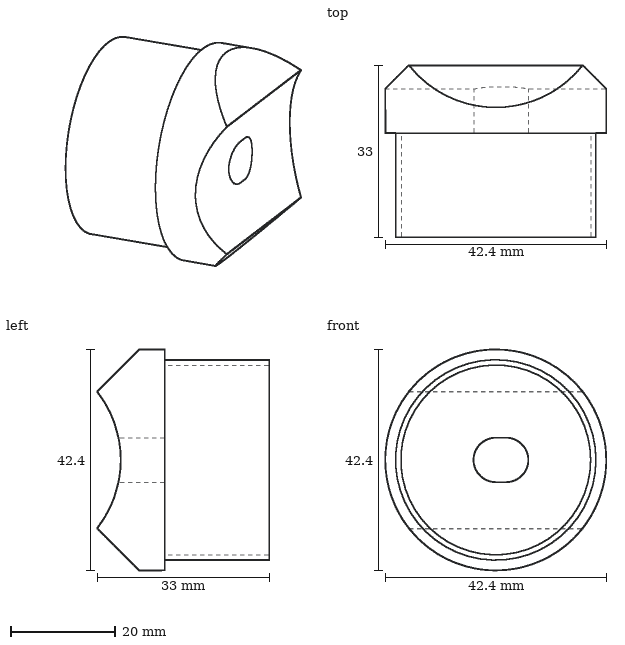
import cadquery as cq

collar_diameter = 42.4
collar_length = 12.97
tube_diameter = 38.4
tube_bore = 36.4
tube_length = 20.0

saddle_radius = collar_diameter / 2
saddle_axis_y = 29.7

rim_length = 4.9
flat_run = collar_length - rim_length

slot_width = 8.5
slot_travel = 2.0


def cylinder_along_y(diameter, start_y, length):
    plane = cq.Plane(origin=(0, start_y, 0), xDir=(1, 0, 0), normal=(0, 1, 0))
    return cq.Workplane(plane).circle(diameter / 2).extrude(length)


def saddle_cutter():
    return (
        cq.Workplane("YZ")
        .center(saddle_axis_y, 0)
        .circle(saddle_radius)
        .extrude(collar_diameter, both=True)
    )


def flat_cutter(side):
    """Triangular prism along X; side is +1 for the top flat, -1 for the bottom."""
    outer_z = side * collar_diameter / 2
    inner_z = side * (collar_diameter / 2 - flat_run)
    return (
        cq.Workplane("YZ")
        .moveTo(rim_length, outer_z)
        .lineTo(collar_length, inner_z)
        .lineTo(collar_length, outer_z)
        .close()
        .extrude(collar_diameter, both=True)
    )


def slot_cutter():
    return (
        cq.Workplane("XZ")
        .center(slot_travel / 2, 0)
        .slot2D(slot_width + slot_travel, slot_width)
        .extrude(collar_length + tube_length, both=True)
    )


collar = cylinder_along_y(collar_diameter, 0, collar_length).cut(saddle_cutter())
for side in (1, -1):
    collar = collar.cut(flat_cutter(side))

tube = cylinder_along_y(tube_diameter, -tube_length, tube_length)
bore = cylinder_along_y(tube_bore, -tube_length, tube_length)

result = collar.union(tube.cut(bore)).cut(slot_cutter())